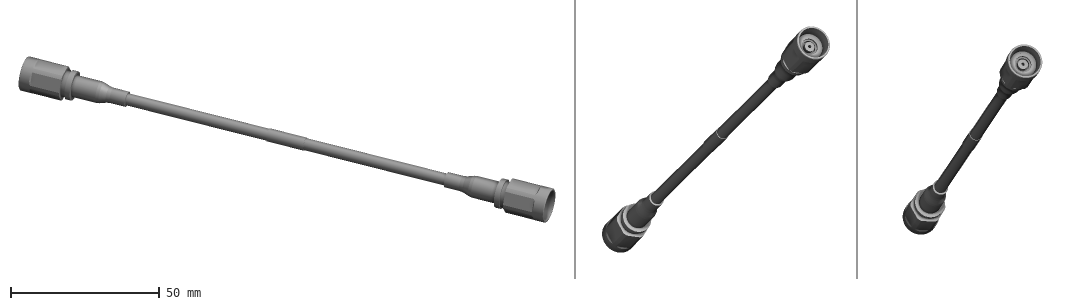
import cadquery as cq

total_length = 189.0
end_x = -total_length / 2

cable_radius = 2.0
band_radius = 2.3
band_length = 13.2

nut_radius = 5.95
nut_end_chamfer = 0.2
hex_flat_count = 6
hex_half_width = 5.5
flat_start_depth = 4.2
nut_depth = 14.5
neck_radius = 4.5
ring_radius = 5.1
ring_start_depth = 16.3
ring_end_depth = 18.1
socket_mouth_radius = 5.3
socket_floor_radius = 4.5
socket_depth = 3.8

body_radius = 3.8
bevel_start_depth = 26.8
cone_start_depth = 28.0
cone_start_radius = 3.5
collar_start_depth = 30.2
collar_start_radius = 2.8
collar_end_depth = 31.5
ferrule_radius = 2.6
ferrule_end_depth = 37.0

counterbore_radius = 2.8
counterbore_depth = 0.8
groove_outer_radius = 2.3
groove_inner_radius = 1.7
groove_depth = 1.9
contact_hole_radius = 0.5
contact_hole_depth = 1.9


def revolved(plane, side, points):
    """Revolve (depth, radius) points about X; side sets where the sketch lies on the plane."""
    placed = [(end_x + depth, side * radius) for depth, radius in points]
    return cq.Workplane(plane).polyline(placed).close().revolve(360, (0, 0, 0), (1, 0, 0))


def mirrored_pair(solid):
    """The part at the -X end and its mirror image at the +X end."""
    return [solid, solid.mirror("YZ")]


def make_cable():
    cable_half_length = total_length / 2 - collar_end_depth
    band_half_length = band_length / 2
    outline = [
        (-cable_half_length, 0),
        (-cable_half_length, cable_radius),
        (-band_half_length, cable_radius),
        (-band_half_length, band_radius),
        (band_half_length, band_radius),
        (band_half_length, cable_radius),
        (cable_half_length, cable_radius),
        (cable_half_length, 0),
    ]
    return cq.Workplane("XZ").polyline(outline).close().revolve(360, (0, 0, 0), (1, 0, 0))


def flat_cutter():
    """Wedge-ended block above the top flat; its front end slopes at 45 degrees into the rim."""
    flat_x = end_x + flat_start_depth
    rear_x = end_x + nut_depth
    cut_height = nut_radius
    section = [
        (flat_x, hex_half_width),
        (rear_x, hex_half_width),
        (rear_x, hex_half_width + cut_height),
        (flat_x - cut_height, hex_half_width + cut_height),
    ]
    return cq.Workplane("XZ").polyline(section).close().extrude(nut_radius, both=True)


def make_nut():
    outline = [
        (0, socket_mouth_radius),
        (0, nut_radius - nut_end_chamfer),
        (nut_end_chamfer, nut_radius),
        (nut_depth, nut_radius),
        (nut_depth, neck_radius),
        (ring_start_depth, neck_radius),
        (ring_start_depth, ring_radius),
        (ring_end_depth, ring_radius),
        (ring_end_depth, body_radius),
        (socket_depth, body_radius),
        (socket_depth, socket_floor_radius),
    ]
    nut = revolved("XZ", 1, outline)
    for index in range(hex_flat_count):
        angle = index * 360 / hex_flat_count
        nut = nut.cut(flat_cutter().rotate((0, 0, 0), (1, 0, 0), angle))
    return nut


def make_connector_body():
    counterbore_floor = socket_depth + counterbore_depth
    groove_floor = socket_depth + groove_depth
    hole_floor = socket_depth + contact_hole_depth
    outline = [
        (hole_floor, 0),
        (hole_floor, contact_hole_radius),
        (socket_depth, contact_hole_radius),
        (socket_depth, groove_inner_radius),
        (groove_floor, groove_inner_radius),
        (groove_floor, groove_outer_radius),
        (counterbore_floor, groove_outer_radius),
        (counterbore_floor, counterbore_radius),
        (socket_depth, counterbore_radius),
        (socket_depth, body_radius),
        (bevel_start_depth, body_radius),
        (cone_start_depth, cone_start_radius),
        (collar_start_depth, collar_start_radius),
        (collar_end_depth, ferrule_radius),
        (ferrule_end_depth, ferrule_radius),
        (ferrule_end_depth, cable_radius),
        (collar_end_depth, cable_radius),
        (collar_end_depth, 0),
    ]
    return revolved("XY", -1, outline)


cable = make_cable()
nuts = mirrored_pair(make_nut())
connector_bodies = mirrored_pair(make_connector_body())

parts = [cable, *nuts, *connector_bodies]
result = cq.Compound.makeCompound([part.val() for part in parts])